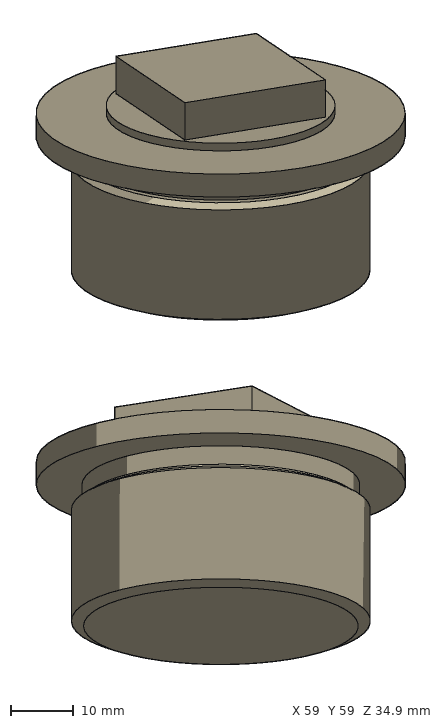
import cadquery as cq

flange_diameter = 59.0
flange_thickness = 3.9
collar_diameter = 36.6
collar_height = 1.3
square_side = 25.0
square_height = 6.3
body_diameter = 47.8
neck_diameter = 44.4
body_height = 20.05
neck_height = 3.4
neck_cone_height = 0.35
bottom_chamfer_width = 1.95
shoulder_chamfer_width = 1.4
bottom_chamfer_height = 0.8
shoulder_chamfer_height = 0.7

flange_bottom = body_height + neck_height
flange_top = flange_bottom + flange_thickness
collar_top = flange_top + collar_height

body_radius = body_diameter / 2
neck_radius = neck_diameter / 2
flange_radius = flange_diameter / 2
collar_radius = collar_diameter / 2

round_plug = (
    cq.Workplane("XZ")
    .lineTo(body_radius - bottom_chamfer_width, 0)
    .lineTo(body_radius, bottom_chamfer_height)
    .lineTo(body_radius, body_height - shoulder_chamfer_height)
    .lineTo(body_radius - shoulder_chamfer_width, body_height)
    .lineTo(neck_radius, body_height + neck_cone_height)
    .lineTo(neck_radius, flange_bottom)
    .lineTo(flange_radius, flange_bottom)
    .lineTo(flange_radius, flange_top)
    .lineTo(collar_radius, flange_top)
    .lineTo(collar_radius, collar_top)
    .lineTo(0, collar_top)
    .close()
    .revolve(360, (0, 0, 0), (0, 1, 0))
)

drive_head = (
    cq.Workplane("XY")
    .workplane(offset=collar_top)
    .rect(square_side, square_side)
    .extrude(square_height)
)

result = round_plug.union(drive_head)